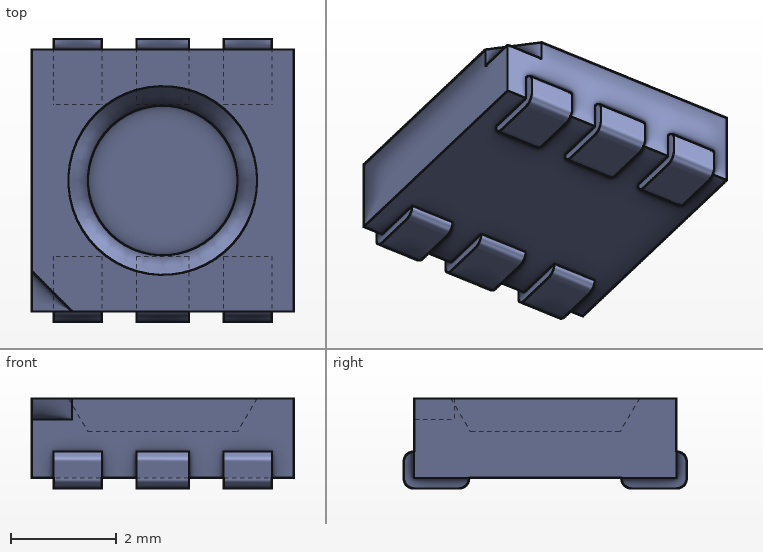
import cadquery as cq

overall_length = 5.35
overall_height = 1.7
body_side = 4.95

lead_thickness = (overall_length - body_side) / 2
lead_height = 0.7
lead_foot_length = 1.24
outer_lead_width = 0.91
middle_lead_width = 1.0
lead_pitch = 1.605

well_top_diameter = 3.565
well_floor_diameter = 2.825
well_depth = 0.625

notch_leg = 0.765
notch_depth = 0.395

body_height = overall_height - lead_thickness


def make_body():
    return (
        cq.Workplane("XY")
        .workplane(offset=lead_thickness)
        .rect(body_side, body_side)
        .extrude(body_height)
    )


def make_well():
    return (
        cq.Workplane("XY")
        .workplane(offset=overall_height - well_depth)
        .circle(well_floor_diameter / 2)
        .workplane(offset=well_depth)
        .circle(well_top_diameter / 2)
        .loft(ruled=True)
    )


def make_notch():
    corner = -body_side / 2
    return (
        cq.Workplane("XY")
        .workplane(offset=overall_height - notch_depth)
        .moveTo(corner, corner)
        .lineTo(corner + notch_leg, corner)
        .lineTo(corner, corner + notch_leg)
        .close()
        .extrude(notch_depth)
    )


def make_front_lead(center_x, width):
    """L-shaped lead whose three free corners are rounded by its own thickness."""
    outer_y = -overall_length / 2
    face_y = -body_side / 2
    foot_end_y = outer_y + lead_foot_length
    radius = lead_thickness
    return (
        cq.Workplane("YZ")
        .workplane(offset=center_x - width / 2)
        .moveTo(face_y, lead_height)
        .radiusArc((outer_y, lead_height - radius), -radius)
        .lineTo(outer_y, radius)
        .radiusArc((face_y, 0), -radius)
        .lineTo(foot_end_y - radius, 0)
        .radiusArc((foot_end_y, radius), -radius)
        .lineTo(face_y, lead_thickness)
        .close()
        .extrude(width)
    )


result = make_body().cut(make_well()).cut(make_notch())

lead_layout = (
    (-lead_pitch, outer_lead_width),
    (0, middle_lead_width),
    (lead_pitch, outer_lead_width),
)
for lead_x, lead_width in lead_layout:
    front_lead = make_front_lead(lead_x, lead_width)
    back_lead = front_lead.mirror("XZ")
    result = result.union(front_lead).union(back_lead)